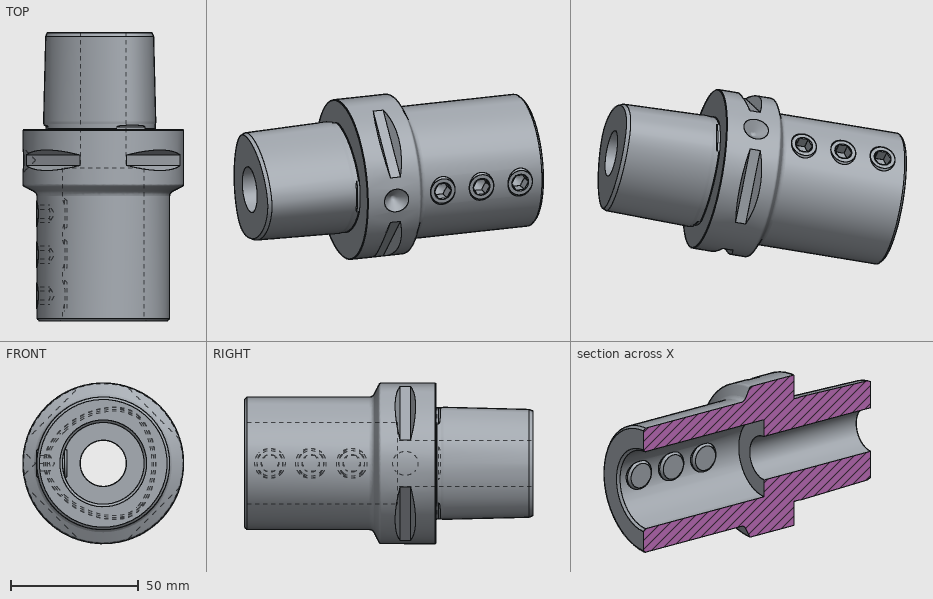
import cadquery as cq
import math


SHANK_LENGTH = 38.0
POLYGON_RADIUS = 22.0
LOBE_HEIGHT = 1.40
LOBE_COUNT = 3
OUTLINE_POINTS = 72
TAPER_START = 3.1
TAPER_PER_SIDE = 1 / 40
SHANK_CHAMFER_LENGTH = 1.5
SHANK_CHAMFER_WIDTH = 0.7
NECK_LENGTH = 2.0
NECK_ROOT_LENGTH = 0.35
NECK_STEP = 0.15
UNDERCUT_RADIUS = 22.45
UNDERCUT_LENGTH = 1.0
UNDERCUT_FILLET = 0.7

FLANGE_RADIUS = 63.0 / 2
FLANGE_CHAMFER = 0.3
FLANGE_END = 22.0
BACK_CONE_ANGLE = 63.0
RIM_FILLET = 1.15
ROOT_FILLET = 2.0

BODY_LENGTH = 75.0
BODY_RADIUS = 52.0 / 2
NOSE_CHAMFER = 1.0
BORE_RADIUS = 32.0 / 2
BORE_DEPTH = 60.0
BORE_CHAMFER = 1.0
COOLANT_RADIUS = 18.0 / 2

GRIP_CENTRE = 12.0
GROOVE_COUNT = 4
FIRST_GROOVE_ANGLE = 45.0
GROOVE_FLOOR_RADIUS = 27.8
GROOVE_FLOOR_WIDTH = 4.1
GROOVE_WALL_ANGLE = 28.0
DIMPLE_RADIUS = 5.0
DIMPLE_DEPTH = 5.0

SCREW_COUNT = 3
SCREW_PITCH = 16.0
FIRST_SCREW = 10.0
SCREW_RADIUS = 12.0 / 2
SCREW_LENGTH = 12.0
SCREW_CHAMFER = 1.0
SCREW_HEAD_X = -26.1
SOCKET_SIDES = 6
SOCKET_FLATS = 6.0
SOCKET_DEPTH = 5.0
SOCKET_POINT_ANGLE = 60.0


def revolve_about_axis(points):
    """Revolve a closed (radius, y) outline about the Y axis."""
    return cq.Workplane("XY").polyline(points).close().revolve(360, (0, 0, 0), (0, 1, 0))


def polygon_outline(mean_radius, y):
    """Three-lobed outline with one lobe on -X, as the envelope of its tangents."""

    def point(turn):
        angle = 2 * math.pi * turn / OUTLINE_POINTS
        reach = mean_radius - LOBE_HEIGHT * math.cos(LOBE_COUNT * angle)
        slope = LOBE_HEIGHT * LOBE_COUNT * math.sin(LOBE_COUNT * angle)
        x = reach * math.cos(angle) - slope * math.sin(angle)
        z = reach * math.sin(angle) + slope * math.cos(angle)
        return cq.Vector(x, y, z)

    points = [point(turn) for turn in range(OUTLINE_POINTS)]
    return cq.Wire.assembleEdges([cq.Edge.makeSpline(points, periodic=True)])


def make_shank():
    """Polygon neck, taper and end chamfer, with the lobes relieved next to the flange."""
    chamfer_start = SHANK_LENGTH - SHANK_CHAMFER_LENGTH
    tip_radius = POLYGON_RADIUS - TAPER_PER_SIDE * (chamfer_start - TAPER_START)
    neck_radius = POLYGON_RADIUS - NECK_STEP
    sections = [
        (POLYGON_RADIUS, 0.0),
        (neck_radius, NECK_ROOT_LENGTH),
        (neck_radius, NECK_LENGTH),
        (POLYGON_RADIUS, TAPER_START),
        (tip_radius, chamfer_start),
        (tip_radius - SHANK_CHAMFER_WIDTH, SHANK_LENGTH),
    ]
    outlines = [polygon_outline(radius, y) for radius, y in sections]
    shank = cq.Workplane(cq.Solid.makeLoft(outlines, True))

    outside = POLYGON_RADIUS + 2 * LOBE_HEIGHT
    arc_radius = UNDERCUT_RADIUS + UNDERCUT_FILLET
    undercut_end = UNDERCUT_LENGTH + UNDERCUT_FILLET
    arc_offset = UNDERCUT_FILLET * math.sqrt(0.5)
    arc_middle = (arc_radius - arc_offset, UNDERCUT_LENGTH + arc_offset)
    undercut = (
        cq.Workplane("XY")
        .moveTo(UNDERCUT_RADIUS, 0)
        .lineTo(UNDERCUT_RADIUS, UNDERCUT_LENGTH)
        .threePointArc(arc_middle, (arc_radius, undercut_end))
        .lineTo(outside, undercut_end)
        .lineTo(outside, 0)
        .close()
        .revolve(360, (0, 0, 0), (0, 1, 0))
    )
    return shank.cut(undercut)


def make_flange_and_body():
    """Solid flange and cylindrical body, joined by a filleted conical back face."""
    cone_length = (FLANGE_RADIUS - BODY_RADIUS) / math.tan(math.radians(BACK_CONE_ANGLE))
    cone_end = FLANGE_END + cone_length
    blank = revolve_about_axis([
        (0, 0),
        (FLANGE_RADIUS - FLANGE_CHAMFER, 0),
        (FLANGE_RADIUS, -FLANGE_CHAMFER),
        (FLANGE_RADIUS, -FLANGE_END),
        (BODY_RADIUS, -cone_end),
        (BODY_RADIUS, -BODY_LENGTH + NOSE_CHAMFER),
        (BODY_RADIUS - NOSE_CHAMFER, -BODY_LENGTH),
        (0, -BODY_LENGTH),
    ])
    blank = blank.edges(cq.selectors.NearestToPointSelector((0, -FLANGE_END, FLANGE_RADIUS)))
    blank = blank.fillet(RIM_FILLET)
    blank = blank.edges(cq.selectors.NearestToPointSelector((0, -cone_end, BODY_RADIUS)))
    return blank.fillet(ROOT_FILLET)


def make_bore():
    """Chamfered tool bore, continued through the shank by the coolant hole."""
    bore_floor = BORE_DEPTH - BODY_LENGTH
    return revolve_about_axis([
        (0, -BODY_LENGTH),
        (BORE_RADIUS + BORE_CHAMFER, -BODY_LENGTH),
        (BORE_RADIUS, -BODY_LENGTH + BORE_CHAMFER),
        (BORE_RADIUS, bore_floor),
        (COOLANT_RADIUS, bore_floor),
        (COOLANT_RADIUS, SHANK_LENGTH),
        (0, SHANK_LENGTH),
    ])


def make_gripper_groove(angle):
    """Straight trapezoidal groove across the rim, its floor facing the given angle."""
    depth = FLANGE_RADIUS - GROOVE_FLOOR_RADIUS
    floor_half = GROOVE_FLOOR_WIDTH / 2
    mouth_half = floor_half + depth * math.tan(math.radians(GROOVE_WALL_ANGLE))
    profile = [
        (GROOVE_FLOOR_RADIUS, -GRIP_CENTRE - floor_half),
        (FLANGE_RADIUS, -GRIP_CENTRE - mouth_half),
        (FLANGE_RADIUS, -GRIP_CENTRE + mouth_half),
        (GROOVE_FLOOR_RADIUS, -GRIP_CENTRE + floor_half),
    ]
    groove = cq.Workplane("XY").polyline(profile).close().extrude(FLANGE_RADIUS, both=True)
    return groove.rotate((0, 0, 0), (0, 1, 0), angle)


def make_cone(base_radius, height, x, y):
    """Cone whose base is at x and whose point faces +X."""
    return cq.Workplane(
        cq.Solid.makeCone(base_radius, 0, height, cq.Vector(x, y, 0), cq.Vector(1, 0, 0))
    )


def make_set_screw(y):
    """Screw with both ends chamfered, lying along X."""
    head_plane = cq.Workplane("YZ", origin=(SCREW_HEAD_X, y, 0))
    return head_plane.circle(SCREW_RADIUS).extrude(SCREW_LENGTH).edges("%CIRCLE").chamfer(SCREW_CHAMFER)


def make_socket(y):
    """Hexagon socket with a countersunk mouth and a conical bottom."""
    corner_radius = SOCKET_FLATS / 2 / math.cos(math.pi / SOCKET_SIDES)
    point_depth = corner_radius / math.tan(math.radians(SOCKET_POINT_ANGLE))
    head_plane = cq.Workplane("YZ", origin=(SCREW_HEAD_X, y, 0))
    hexagon = head_plane.polygon(SOCKET_SIDES, 2 * corner_radius).extrude(SOCKET_DEPTH + point_depth)
    drill = head_plane.circle(corner_radius).extrude(SOCKET_DEPTH)
    drill = drill.union(make_cone(corner_radius, point_depth, SCREW_HEAD_X + SOCKET_DEPTH, y))
    mouth = make_cone(corner_radius, point_depth, SCREW_HEAD_X, y)
    return hexagon.intersect(drill).union(mouth)


result = make_flange_and_body().union(make_shank()).cut(make_bore())

for index in range(GROOVE_COUNT):
    result = result.cut(make_gripper_groove(FIRST_GROOVE_ANGLE + index * 360 / GROOVE_COUNT))

result = result.cut(make_cone(DIMPLE_RADIUS, DIMPLE_DEPTH, -FLANGE_RADIUS, -GRIP_CENTRE))

for index in range(SCREW_COUNT):
    screw_y = -BODY_LENGTH + FIRST_SCREW + index * SCREW_PITCH
    result = result.union(make_set_screw(screw_y)).cut(make_socket(screw_y))